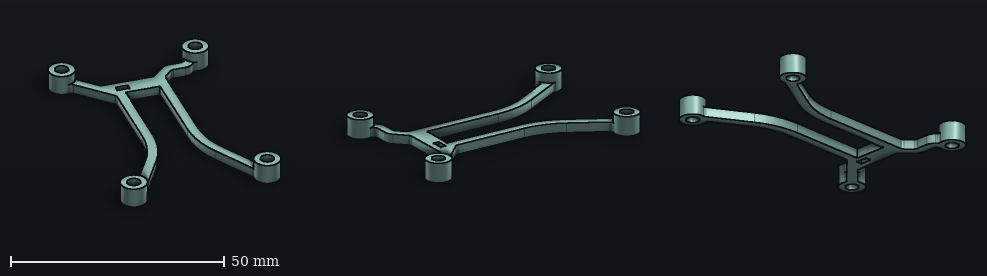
import cadquery as cq
import math

length = 59.5
width = 39.5
boss_height = 5.0

boss_diameter = 6.5
hole_diameter = 3.2
boss_x = (length - boss_diameter) / 2
boss_y = (width - boss_diameter) / 2

frame_height = 2.5
arm_width = 2.5
spine_left = -20.6
spine_right = -15.9

rail_width = 2.55
rail_outer_y = 6.8
rail_inner_y = rail_outer_y - rail_width
bend_start_x = 4.15
bend_outer_edge_radius = 20.0
bend_inner_edge_radius = bend_outer_edge_radius + rail_width
bend_angle = 30.0

crank_x = -23.2
crank_lower_y = 8.6
crank_outer_radius = 3.0

corner_radius = 1.0

slot_width = 1.4
slot_length = 3.05
slot_x = -18.0
slot_y = -4.3

diagonal_offset = arm_width / math.sqrt(2)
miter_offset = arm_width / 2 * math.tan(math.radians(45 / 2))

tolerance = 0.0005


def bend_point(radius, angle):
    """Point on a +Y rail edge after turning through the given angle."""
    center_y = rail_outer_y + bend_outer_edge_radius
    turn = math.radians(angle)
    return bend_start_x + radius * math.sin(turn), center_y - radius * math.cos(turn)


def fillet_corner(body, corner, radius):
    """Fillet the vertical frame edge nearest to the given (x, y) corner."""
    middle = (corner[0], corner[1], frame_height / 2)
    return body.edges("|Z").edges(cq.selectors.NearestToPointSelector(middle)).fillet(radius)


def spreading_rail():
    """The +Y rail: straight, then a tangent bend, then straight into its boss."""
    outer_bend_end = bend_point(bend_outer_edge_radius, bend_angle)
    inner_bend_end = bend_point(bend_inner_edge_radius, bend_angle)
    run = boss_x - outer_bend_end[0]
    rise = run * math.tan(math.radians(bend_angle))
    return (
        cq.Workplane("XY")
        .moveTo(spine_right, rail_outer_y)
        .lineTo(bend_start_x, rail_outer_y)
        .threePointArc(bend_point(bend_outer_edge_radius, bend_angle / 2), outer_bend_end)
        .line(run, rise)
        .lineTo(inner_bend_end[0] + run, inner_bend_end[1] + rise)
        .lineTo(*inner_bend_end)
        .threePointArc(
            bend_point(bend_inner_edge_radius, bend_angle / 2),
            (bend_start_x, rail_inner_y),
        )
        .lineTo(spine_right, rail_inner_y)
        .close()
        .extrude(frame_height)
    )


def spine():
    """Cross piece between the rails, with the straight diagonal arm at -Y."""
    upper_edge = boss_x - boss_y + diagonal_offset
    lower_edge = boss_x - boss_y - diagonal_offset
    half_step = diagonal_offset / 2
    return (
        cq.Workplane("XY")
        .polyline([
            (spine_left, spine_left + upper_edge),
            (-boss_x - half_step, -boss_y + half_step),
            (-boss_x + half_step, -boss_y - half_step),
            (-rail_outer_y - lower_edge, -rail_outer_y),
            (spine_right, -rail_outer_y),
            (spine_right, rail_outer_y),
            (spine_left, rail_outer_y),
        ])
        .close()
        .extrude(frame_height)
    )


def cranked_arm():
    """Arm that leaves its boss at 45 degrees, drops along -Y, then turns 45 degrees to the spine."""
    half_width = arm_width / 2
    half_step = diagonal_offset / 2
    left = crank_x - half_width
    right = crank_x + half_width
    upper_y = boss_y - (crank_x + boss_x)
    end_x = (spine_left + spine_right) / 2
    end_y = crank_lower_y - (end_x - crank_x)
    upper_right = (right, upper_y + miter_offset)
    lower_right = (right, crank_lower_y + miter_offset)
    upper_left = (left, upper_y - miter_offset)
    lower_left = (left, crank_lower_y - miter_offset)
    arm = (
        cq.Workplane("XY")
        .polyline([
            (-boss_x + half_step, boss_y + half_step),
            upper_right,
            lower_right,
            (end_x + half_step, end_y + half_step),
            (end_x - half_step, end_y - half_step),
            lower_left,
            upper_left,
            (-boss_x - half_step, boss_y - half_step),
        ])
        .close()
        .extrude(frame_height)
    )
    for corner, radius in (
        (upper_right, crank_outer_radius),
        (upper_left, corner_radius),
        (lower_right, corner_radius),
        (lower_left, crank_outer_radius),
    ):
        arm = fillet_corner(arm, corner, radius)
    return arm


def cylinders(diameter, height):
    """Upright cylinders at the four boss centers."""
    centers = [(x, y) for x in (-boss_x, boss_x) for y in (-boss_y, boss_y)]
    return cq.Workplane("XY").pushPoints(centers).circle(diameter / 2).extrude(height)


def is_boss_junction(edge):
    """True where an arm's side meets a boss, but not for the boss's own seam."""
    center = edge.Center()
    from_boss_x = abs(center.x) - boss_x
    from_boss_y = abs(center.y) - boss_y
    on_boss = abs(math.hypot(from_boss_x, from_boss_y) - boss_diameter / 2) < tolerance
    return on_boss and abs(from_boss_y) > tolerance


rail = spreading_rail()
frame = spine().union(cranked_arm()).union(rail).union(rail.mirror("XZ"))
frame = frame.union(cylinders(boss_diameter, boss_height))

lower_diagonal = boss_x - boss_y
upper_diagonal = crank_lower_y + crank_x
for frame_corner in (
    (spine_left, spine_left + lower_diagonal + diagonal_offset),
    (-rail_outer_y - lower_diagonal + diagonal_offset, -rail_outer_y),
    (spine_left, upper_diagonal - spine_left - diagonal_offset),
    (upper_diagonal + diagonal_offset - rail_outer_y, rail_outer_y),
):
    frame = fillet_corner(frame, frame_corner, corner_radius)

frame = frame.edges("|Z").filter(is_boss_junction).fillet(corner_radius)

slot = cq.Workplane("XY").center(slot_x, slot_y).rect(slot_width, slot_length).extrude(frame_height)
holes = cylinders(hole_diameter, boss_height)
result = frame.cut(slot).cut(holes)